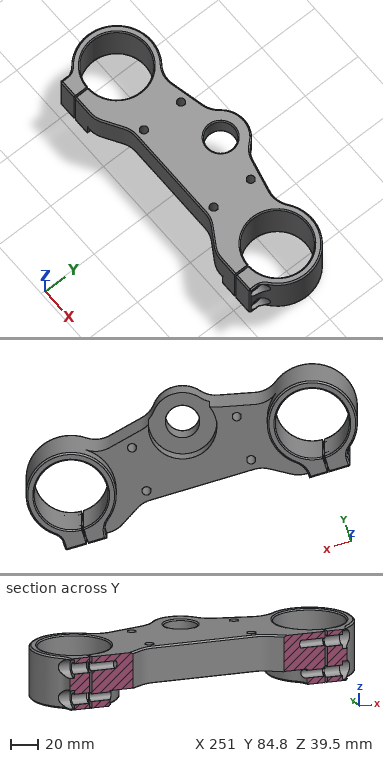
import cadquery as cq
import math


overall_length = 251.0

clamp_height = 39.5
bridge_thickness = 27.5
boss_thickness = 16.5
bridge_bottom = clamp_height - bridge_thickness

fork_spacing = 185.0
fork_x = fork_spacing / 2
clamp_radius = (overall_length - fork_spacing) / 2
fork_bore_radius = 27.0
ear_front_y = -40.0
ear_outer_x = 109.2
ear_inner_x = 77.8
ear_outer_fillet = 10.0
ear_inner_fillet = 15.0
slot_width = 1.5

stem_y = 22.3
boss_radius = 22.5
stem_bore_radius = 12.5
relief_radius = 25.0

bridge_front_y = -25.0
front_flat_half = 45.7
ear_flat_end_x = 69.8
bridge_fillet = 20.0
back_edge_y_at_fork = 14.3
back_edge_y_at_stem = 36.0

mount_x = 40.2
mount_ys = (17.8, -17.3)
mount_radius = 3.3

bolt_y = -31.5
bolt_edge_distance = 8.0
bolt_clearance_radius = 4.3
bolt_thread_radius = 3.3
bolt_head_radius = 7.0
bolt_seat_x = 105.5
blind_thread_end_x = 72.8
through_thread_end_x = 0.0
drill_point_angle = math.radians(118)

edge_chamfer = 1.3
bore_chamfer = 1.0
ear_edge_chamfer = 1.0


def cylinder(x, y, radius, bottom, top):
    return cq.Workplane("XY", origin=(x, y, bottom)).circle(radius).extrude(top - bottom)


def block(x_min, x_max, y_min, y_max, bottom, top):
    size = (x_max - x_min, y_max - y_min, top - bottom)
    return cq.Workplane("XY", origin=(x_min, y_min, bottom)).box(*size, centered=False)


def upright_edge(body, x, y):
    """Select the upright edge that passes nearest to (x, y)."""
    height = body.val().Center().z
    return body.edges("|Z").edges(cq.selectors.NearestToPointSelector((x, y, height)))


def fillet_upright(body, points, radius):
    for x, y in points:
        body = upright_edge(body, x, y).fillet(radius)
    return body


def chamfer_upright(body, points, size):
    for x, y in points:
        body = upright_edge(body, x, y).chamfer(size)
    return body


def clamp_side_y(x):
    """Front crossing of the clamp cylinder with an upright plane at x."""
    return -math.sqrt(clamp_radius**2 - (x - fork_x) ** 2)


def back_edge_crossing(center_x, center_y, radius, direction):
    """Point where the straight back edge crosses a circle, on its +X or -X side."""
    slope = (back_edge_y_at_fork - back_edge_y_at_stem) / fork_x
    offset = back_edge_y_at_stem + slope * center_x - center_y
    a = 1 + slope**2
    b = slope * offset
    step = (-b + direction * math.sqrt(b**2 - a * (offset**2 - radius**2))) / a
    return center_x + step, center_y + offset + slope * step


def mirrored(points):
    return [(side * x, y) for side in (1, -1) for x, y in points]


ear_front_corner = (ear_outer_x, ear_front_y)
ear_outer_corner = (ear_outer_x, clamp_side_y(ear_outer_x))
ear_inner_corner = (ear_inner_x, clamp_side_y(ear_inner_x))


def upper_body():
    """Bridge, stem boss and the upper part of both clamps, with a round relief under the boss."""
    slope_foot = (ear_flat_end_x, ear_front_y)
    slope_head = (front_flat_half, bridge_front_y)
    right_side = [
        (fork_x, back_edge_y_at_fork),
        (ear_outer_x, 0),
        ear_front_corner,
        slope_foot,
        slope_head,
    ]
    left_side = [(-x, y) for x, y in reversed(right_side)]
    outline = [(0, back_edge_y_at_stem)] + right_side + left_side
    base = cq.Workplane("XY", origin=(0, 0, bridge_bottom))
    body = base.polyline(outline).close().extrude(bridge_thickness)
    for side in (1, -1):
        body = body.union(cylinder(side * fork_x, 0, clamp_radius, bridge_bottom, clamp_height))
    body = body.union(cylinder(0, stem_y, boss_radius, bridge_bottom, clamp_height))

    bridge_corners = [
        slope_foot,
        slope_head,
        back_edge_crossing(fork_x, 0, clamp_radius, -1),
        back_edge_crossing(0, stem_y, boss_radius, 1),
    ]
    body = fillet_upright(body, mirrored(bridge_corners), bridge_fillet)
    body = fillet_upright(body, mirrored([ear_outer_corner]), ear_outer_fillet)
    body = chamfer_upright(body, mirrored([ear_front_corner]), ear_edge_chamfer)
    body = body.faces(">Z").edges().chamfer(edge_chamfer)
    return body.cut(cylinder(0, stem_y, relief_radius, bridge_bottom, clamp_height - boss_thickness))


def lower_clamp():
    """Part of the +X clamp that hangs below the bridge."""
    body = cylinder(fork_x, 0, clamp_radius, 0, bridge_bottom)
    body = body.union(block(ear_inner_x, ear_outer_x, ear_front_y, 0, 0, bridge_bottom))
    body = fillet_upright(body, [ear_outer_corner], ear_outer_fillet)
    body = fillet_upright(body, [ear_inner_corner], ear_inner_fillet)
    body = chamfer_upright(body, [ear_front_corner], ear_edge_chamfer)
    return body.faces("<Z").edges().chamfer(edge_chamfer)


def bolt_cylinder(radius, height, x_start, x_end):
    plane = cq.Workplane("YZ", origin=(x_start, bolt_y, height))
    return plane.circle(radius).extrude(x_end - x_start)


def pinch_bolt(height, thread_end_x):
    """Head seat, clearance hole up to the slot and threaded hole beyond it, on the +X clamp."""
    head = bolt_cylinder(bolt_head_radius, height, bolt_seat_x, fork_x + clamp_radius)
    clearance = bolt_cylinder(bolt_clearance_radius, height, fork_x, bolt_seat_x)
    thread = bolt_cylinder(bolt_thread_radius, height, thread_end_x, fork_x)
    return head.union(clearance).union(thread)


def blind_pinch_bolt():
    """Upper bolt hole, whose thread stops at a drill point inside the bridge."""
    height = clamp_height - bolt_edge_distance
    point_length = bolt_thread_radius / math.tan(drill_point_angle / 2)
    thread_end = cq.Vector(blind_thread_end_x, bolt_y, height)
    drill_point = cq.Solid.makeCone(bolt_thread_radius, 0, point_length, thread_end, cq.Vector(-1, 0, 0))
    return pinch_bolt(height, blind_thread_end_x).union(cq.Workplane(drill_point))


def bore_chamfer_cone(x, y, radius, face_z, inward):
    """Cone that breaks a bore edge at face_z; inward is the Z direction into the material."""
    wide = radius + bore_chamfer
    cone = cq.Solid.makeCone(wide, radius, bore_chamfer, cq.Vector(x, y, face_z), cq.Vector(0, 0, inward))
    return cq.Workplane(cone)


def clamp_cuts():
    """Everything removed from the +X clamp."""
    fork_bore = cylinder(fork_x, 0, fork_bore_radius, 0, clamp_height)
    half_slot = slot_width / 2
    slot = block(fork_x - half_slot, fork_x + half_slot, ear_front_y, 0, 0, clamp_height)
    upper_bolt = blind_pinch_bolt()
    lower_bolt = pinch_bolt(bolt_edge_distance, through_thread_end_x)
    cuts = fork_bore.union(slot).union(upper_bolt).union(lower_bolt)
    cuts = cuts.union(bore_chamfer_cone(fork_x, 0, fork_bore_radius, clamp_height, -1))
    return cuts.union(bore_chamfer_cone(fork_x, 0, fork_bore_radius, 0, 1))


def both_sides(body):
    return body.union(body.mirror("YZ"))


result = upper_body().union(both_sides(lower_clamp()))
result = result.cut(both_sides(clamp_cuts()))
for hole_x, hole_y in mirrored([(mount_x, y) for y in mount_ys]):
    result = result.cut(cylinder(hole_x, hole_y, mount_radius, 0, clamp_height))
result = result.cut(cylinder(0, stem_y, stem_bore_radius, 0, clamp_height))
result = result.cut(bore_chamfer_cone(0, stem_y, stem_bore_radius, clamp_height, -1))